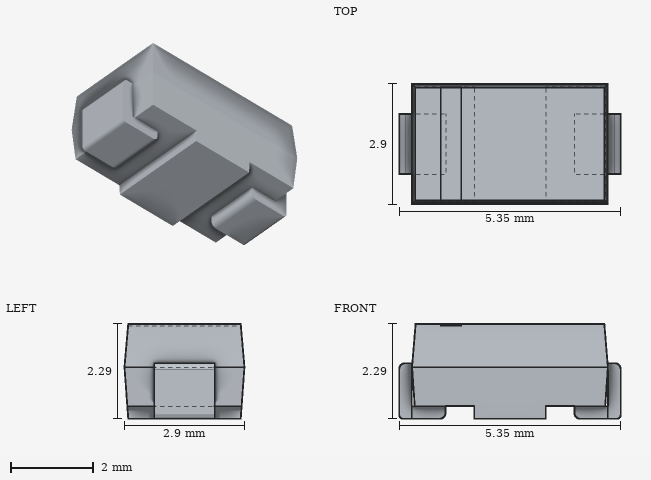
import cadquery as cq

total_length = 5.35
housing_width = 2.9
total_height = 2.29
parting_height = 1.25

metal_thickness = 0.31
terminal_width = 1.45
plate_height = 1.35
foot_length = 0.815
plate_top_radius = 0.155
plate_bottom_radius = 0.1
foot_tip_radius = 0.15

housing_length = total_length - 2 * metal_thickness
end_wall_inset = 0.085
side_wall_inset = 0.09
pad_length = 1.735

stripe_start = -1.665
stripe_width = 0.49
stripe_depth = 0.05


def tapered_half(end_height):
    """Half of the housing, narrowing from the parting plane to end_height."""
    return (
        cq.Workplane("XY", origin=(0, 0, parting_height))
        .rect(housing_length, housing_width)
        .workplane(offset=end_height - parting_height)
        .rect(housing_length - 2 * end_wall_inset, housing_width - 2 * side_wall_inset)
        .loft(ruled=True)
    )


def stripe_slot():
    """Block across the full housing width, from the slot floor to the top face."""
    return cq.Workplane("XY", origin=(stripe_start, 0, total_height - stripe_depth)).box(
        stripe_width, housing_width, stripe_depth, centered=(False, True, False)
    )


def make_upper_housing():
    return tapered_half(total_height).cut(stripe_slot())


def make_stripe():
    """Stripe that fills the slot, its ends flush with the sloping sides."""
    return tapered_half(total_height).intersect(stripe_slot())


def make_lower_housing():
    """Lower half with both ends raised above the feet, leaving a central pad."""
    recess_length = (housing_length - pad_length) / 2
    recess_offset = (pad_length + recess_length) / 2
    recesses = (
        cq.Workplane("XY")
        .pushPoints([(-recess_offset, 0), (recess_offset, 0)])
        .box(recess_length, housing_width, metal_thickness, centered=(True, True, False))
    )
    return tapered_half(0).cut(recesses)


def make_plate(side):
    """Upright terminal plate at the -X (side = -1) or +X (side = 1) end."""
    center_x = side * (housing_length + metal_thickness) / 2
    outer_face = "<X" if side < 0 else ">X"
    return (
        cq.Workplane("XY", origin=(center_x, 0, 0))
        .box(metal_thickness, terminal_width, plate_height, centered=(True, True, False))
        .faces(outer_face)
        .edges(">Z")
        .fillet(plate_top_radius)
        .faces(outer_face)
        .edges("<Z")
        .fillet(plate_bottom_radius)
    )


def make_foot(side):
    """Terminal foot running inward under the housing from the plate."""
    center_x = side * (housing_length - foot_length) / 2
    inner_face = ">X" if side < 0 else "<X"
    return (
        cq.Workplane("XY", origin=(center_x, 0, 0))
        .box(foot_length, terminal_width, metal_thickness, centered=(True, True, False))
        .faces(inner_face)
        .edges("<Z")
        .fillet(foot_tip_radius)
    )


upper_housing = make_upper_housing()
lower_housing = make_lower_housing()
stripe = make_stripe()
plates = [make_plate(side).val() for side in (-1, 1)]
feet = [make_foot(side).val() for side in (-1, 1)]

result = cq.Compound.makeCompound(
    [upper_housing.val(), lower_housing.val(), stripe.val(), *plates, *feet]
)